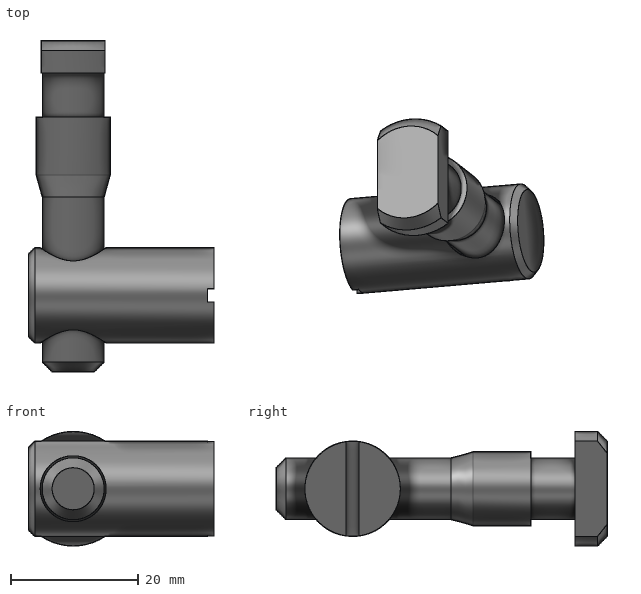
import cadquery as cq

barrel_length = 29.1
barrel_diameter = 15.0
barrel_chamfer = 1.0
slot_width = 2.05
slot_depth = 1.0

bolt_length = 52.0
bolt_x = 7.0
tip_y = -12.0
shaft_diameter = 9.7
tip_chamfer = 1.55
bore_clearance = 0.6
head_diameter = 18.0
head_width = 10.05
head_thickness = 5.1
head_chamfer = 1.55

sleeve_diameter = 11.65
sleeve_straight_length = 9.05
sleeve_taper_length = 3.5
head_to_sleeve = 6.9

bolt_end_y = tip_y + bolt_length
head_face_y = bolt_end_y - head_thickness
sleeve_end_y = head_face_y - head_to_sleeve
taper_start_y = sleeve_end_y - sleeve_straight_length
taper_end_y = taper_start_y - sleeve_taper_length


def plane_across_bolt(y):
    """Plane on the bolt axis at height y, with its normal along +Y."""
    return cq.Plane(origin=(bolt_x, y, 0), xDir=(1, 0, 0), normal=(0, 1, 0))


def cylinder_along_bolt(diameter, start_y, end_y):
    return cq.Workplane(plane_across_bolt(start_y)).circle(diameter / 2).extrude(end_y - start_y)


def make_barrel():
    barrel = cq.Workplane("YZ").circle(barrel_diameter / 2).extrude(barrel_length)
    barrel = barrel.faces("<X").chamfer(barrel_chamfer)
    bore = cylinder_along_bolt(shaft_diameter + bore_clearance, -barrel_diameter, barrel_diameter)
    slot = cq.Workplane("XY").box(2 * slot_depth, slot_width, 2 * barrel_diameter)
    slot = slot.translate((barrel_length, 0, 0))
    return barrel.cut(bore).cut(slot)


def make_bolt():
    shaft = cylinder_along_bolt(shaft_diameter, tip_y, head_face_y)
    shaft = shaft.faces("<Y").chamfer(tip_chamfer)
    head = cylinder_along_bolt(head_diameter, head_face_y, bolt_end_y)
    head = head.faces(">Y").chamfer(head_chamfer)
    flats = (
        cq.Workplane(plane_across_bolt(head_face_y))
        .rect(head_width, head_diameter)
        .extrude(head_thickness)
    )
    return shaft.union(head.intersect(flats))


def make_sleeve():
    straight = cylinder_along_bolt(sleeve_diameter, taper_start_y, sleeve_end_y)
    taper = (
        cq.Workplane(plane_across_bolt(taper_end_y))
        .circle(shaft_diameter / 2)
        .workplane(offset=sleeve_taper_length)
        .circle(sleeve_diameter / 2)
        .loft()
    )
    bore = cylinder_along_bolt(shaft_diameter, taper_end_y, sleeve_end_y)
    return straight.union(taper).cut(bore)


barrel = make_barrel()
bolt = make_bolt()
sleeve = make_sleeve()

result = cq.Compound.makeCompound([barrel.val(), bolt.val(), sleeve.val()])